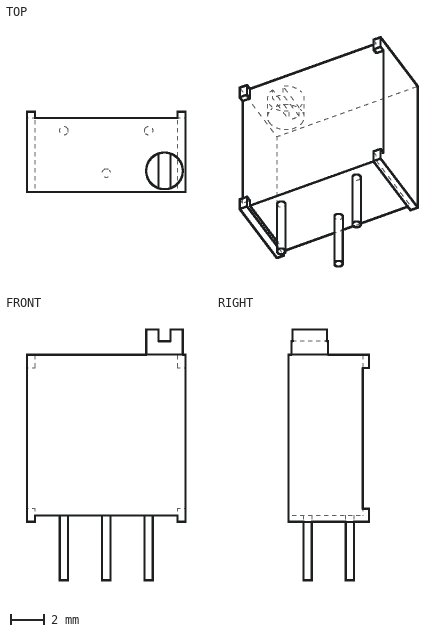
import cadquery as cq

body_width = 9.53
body_depth = 4.83
body_height = 10.02

standoff_width = 0.5
rail_height = 0.38
rear_foot_depth = 0.38
rear_foot_height = 0.8

screw_diameter = 2.2
screw_height = 1.52
screw_offset_x = 3.49
screw_from_front = 1.28
slot_width = 0.69
slot_depth = 0.7

overall_height = 15.05
pin_diameter = 0.51
pin_pitch = 2.55
pin_row_from_front = 1.15

span_between_standoffs = body_width - 2 * standoff_width
rear_face = body_depth - rear_foot_depth
screw_top = body_height + screw_height
pin_tip = screw_top - overall_height


def block(width, y_start, y_end, z_start, z_end):
    """Box centred on X = 0 between the given Y and Z limits."""
    return (
        cq.Workplane("XY")
        .box(width, y_end - y_start, z_end - z_start, centered=(True, False, False))
        .translate((0, y_start, z_start))
    )


def make_housing():
    """Block with two bottom rails and four rear corner feet."""
    housing = block(body_width, 0, body_depth, 0, body_height)
    under_recess = block(span_between_standoffs, 0, body_depth, 0, rail_height)
    rear_recess = block(span_between_standoffs, rear_face, body_depth, 0, body_height)
    gap_between_feet = block(
        body_width, rear_face, body_depth, rear_foot_height, body_height - rear_foot_height
    )
    return housing.cut(under_recess).cut(rear_recess).cut(gap_between_feet)


def make_screw():
    """Round screw head with a driver slot running front to back."""
    head = cq.Workplane("XY").circle(screw_diameter / 2).extrude(screw_height)
    slot = block(
        slot_width, -screw_diameter / 2, screw_diameter / 2, screw_height - slot_depth, screw_height
    )
    return head.cut(slot).translate((screw_offset_x, screw_from_front, body_height))


def make_pins():
    """Three pins in a triangle: the middle one sits one pitch ahead of the outer two."""
    front_row = pin_row_from_front
    back_row = pin_row_from_front + pin_pitch
    pin_places = [(-pin_pitch, back_row), (0, front_row), (pin_pitch, back_row)]
    return (
        cq.Workplane("XY")
        .workplane(offset=pin_tip)
        .pushPoints(pin_places)
        .circle(pin_diameter / 2)
        .extrude(rail_height - pin_tip)
    )


result = make_housing().union(make_screw()).union(make_pins())